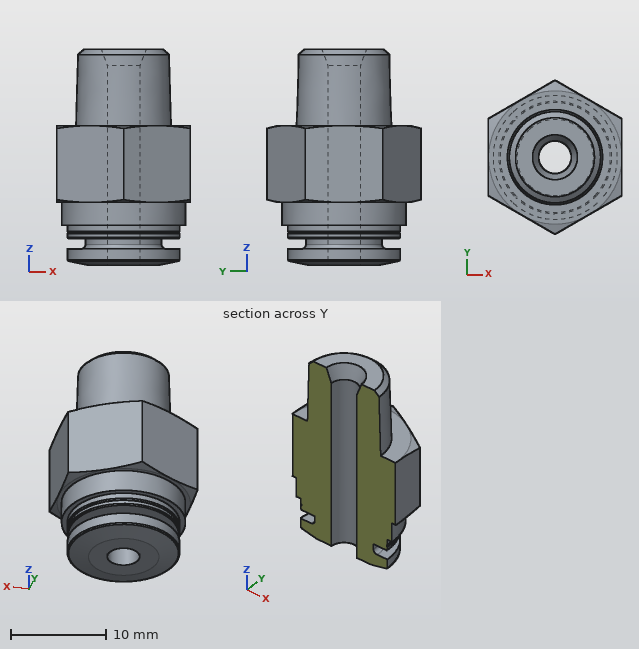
import cadquery as cq
import math

height = 22.65
button_rim_z = 0.43
button_top_z = 1.72
ring_bottom_z = 2.78
groove_z = 3.45
collar_bottom_z = 4.19
hex_bottom_z = 6.59
hex_top_z = 14.63

button_face_diameter = 7.38
button_diameter = 11.8
neck_diameter = 8.0
collar_diameter = 13.0
thread_base_diameter = 9.98
thread_end_diameter = 9.55
thread_tip_diameter = 8.29
bore_diameter = 3.4
countersink_diameter = 4.7

across_flats = 14.0
across_corners = across_flats / math.cos(math.pi / 6)
hex_bevel_diameter = 13.97
hex_bevel_angle = math.radians(15)
neck_fillet = 0.5
edge_chamfer = 0.14
groove_depth = 0.14
thread_chamfer_height = 0.57
countersink_depth = 1.7


def revolve_profile(points):
    """Revolve a closed (radius, z) outline about the Z axis."""
    return cq.Workplane("XZ").polyline(points).close().revolve(360, (0, 0, 0), (0, 1, 0))


def release_button():
    """Flanged button whose neck flows into the flange with a concave fillet."""
    neck_radius = neck_diameter / 2
    fillet_center = (neck_radius + neck_fillet, button_top_z + neck_fillet)
    fillet_reach = neck_fillet * math.sqrt(0.5)
    return (
        cq.Workplane("XZ")
        .lineTo(button_face_diameter / 2, 0)
        .lineTo(button_diameter / 2 - edge_chamfer, button_rim_z)
        .lineTo(button_diameter / 2, button_rim_z + edge_chamfer)
        .lineTo(button_diameter / 2, button_top_z)
        .lineTo(fillet_center[0], button_top_z)
        .threePointArc(
            (fillet_center[0] - fillet_reach, fillet_center[1] - fillet_reach),
            (neck_radius, fillet_center[1]),
        )
        .lineTo(neck_radius, ring_bottom_z)
        .lineTo(0, ring_bottom_z)
        .close()
        .revolve(360, (0, 0, 0), (0, 1, 0))
    )


def sleeve_and_collar():
    """Retaining ring, shallow V groove, sleeve and the wider collar under the hexagon."""
    ring_radius = button_diameter / 2
    groove_radius = ring_radius - groove_depth
    collar_radius = collar_diameter / 2
    return revolve_profile([
        (0, ring_bottom_z),
        (ring_radius - edge_chamfer, ring_bottom_z),
        (ring_radius, ring_bottom_z + edge_chamfer),
        (ring_radius, groove_z - groove_depth),
        (groove_radius, groove_z),
        (ring_radius, groove_z + groove_depth),
        (ring_radius, collar_bottom_z),
        (collar_radius, collar_bottom_z),
        (collar_radius, hex_bottom_z),
        (0, hex_bottom_z),
    ])


def hexagon():
    """Wrench hexagon with corners along Y and both ends bevelled by a cone."""
    prism = (
        cq.Workplane("XY", origin=(0, 0, hex_bottom_z))
        .polygon(6, across_corners)
        .extrude(hex_top_z - hex_bottom_z)
        .rotate((0, 0, 0), (0, 0, 1), 30)
    )
    bevel_radius = hex_bevel_diameter / 2
    corner_radius = across_corners / 2
    corner_drop = (corner_radius - bevel_radius) * math.tan(hex_bevel_angle)
    envelope = revolve_profile([
        (0, hex_bottom_z),
        (bevel_radius, hex_bottom_z),
        (corner_radius, hex_bottom_z + corner_drop),
        (corner_radius, hex_top_z - corner_drop),
        (bevel_radius, hex_top_z),
        (0, hex_top_z),
    ])
    return prism.intersect(envelope)


def tapered_thread():
    """Plain tapered thread body with a chamfered tip."""
    return revolve_profile([
        (0, hex_top_z),
        (thread_base_diameter / 2, hex_top_z),
        (thread_end_diameter / 2, height - thread_chamfer_height),
        (thread_tip_diameter / 2, height),
        (0, height),
    ])


def bore():
    """Through bore with a conical mouth at the thread end."""
    bore_radius = bore_diameter / 2
    return revolve_profile([
        (0, 0),
        (bore_radius, 0),
        (bore_radius, height - countersink_depth),
        (countersink_diameter / 2, height),
        (0, height),
    ])


body = release_button().union(sleeve_and_collar()).union(hexagon()).union(tapered_thread())
result = body.cut(bore())